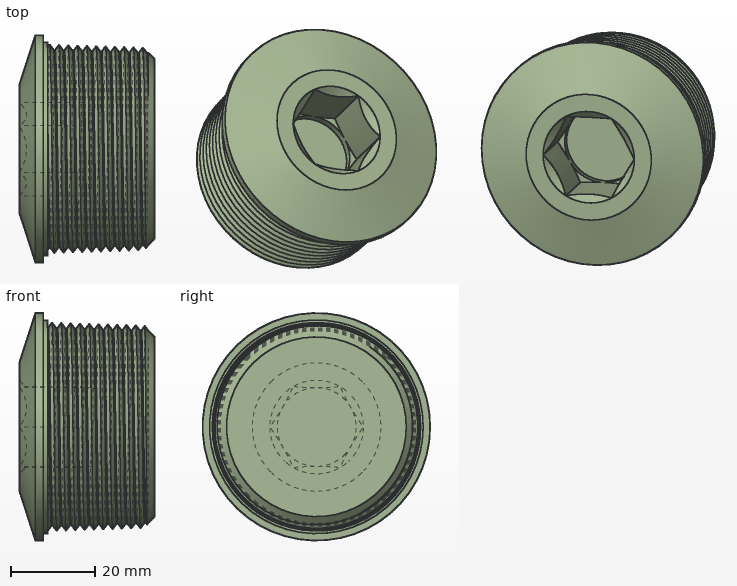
import cadquery as cq
import math

INCH = 25.4

TOTAL_LENGTH = 32.1
THREADED_LENGTH = INCH
COLLAR_WIDTH = 1.0
RIM_WIDTH = 1.9
COLLAR_END = TOTAL_LENGTH - THREADED_LENGTH
RIM_END = COLLAR_END - COLLAR_WIDTH
CONE_END = RIM_END - RIM_WIDTH

HEAD_RADIUS = 54.0 / 2
COLLAR_RADIUS = 50.65 / 2
HEAD_FACE_RADIUS = 30.5 / 2

TURNS_PER_INCH = 11.5
PITCH = INCH / TURNS_PER_INCH
RADIUS_TAPER = 1 / 32
TAPER_ANGLE = math.degrees(math.atan(RADIUS_TAPER))
ROOT_RADIUS = 23.55
THREAD_HEIGHT = 1.2
THREAD_BASE_WIDTH = 1.85
THREAD_EMBED = 0.15
CREST_STATION = 7.76
LEAD_IN_TURNS = 2
RUN_OUT_TURNS = 13

END_CHAMFER = 1.5

BORE_RADIUS = 18.68 / 2
SOCKET_MID_RADIUS = 9.32
SOCKET_CORNER_RADIUS = 11.1
SIDE_ANGLE = 60
SOCKET_DEPTH = 15.0
BORE_DEPTH = 17.0
COUNTERSINK_DEPTH = 1.65


def root_radius(x):
    """Radius of the tapered thread root at station x."""
    return ROOT_RADIUS - (x - COLLAR_END) * RADIUS_TAPER


def revolve(points):
    """Revolve a closed (x, radius) outline about the X axis."""
    return cq.Workplane("XY").polyline(points).close().revolve(360, (0, 0, 0), (1, 0, 0))


def make_head():
    return revolve([
        (0, 0),
        (0, HEAD_FACE_RADIUS),
        (CONE_END, HEAD_RADIUS),
        (RIM_END, HEAD_RADIUS),
        (RIM_END, COLLAR_RADIUS),
        (COLLAR_END, COLLAR_RADIUS),
        (COLLAR_END, 0),
    ])


def make_shank():
    """Tapered shank at the thread root, long enough to be trimmed at the end."""
    return revolve([
        (RIM_END, 0),
        (RIM_END, root_radius(RIM_END)),
        (TOTAL_LENGTH, root_radius(TOTAL_LENGTH)),
        (TOTAL_LENGTH, 0),
    ])


def make_thread_envelope():
    """Space the shank and thread may fill: from the collar to the chamfered end face."""
    chamfer_start = TOTAL_LENGTH - END_CHAMFER
    start_radius = root_radius(chamfer_start)
    end_radius = start_radius - END_CHAMFER
    fade_rise = COLLAR_RADIUS - start_radius
    fade_length = fade_rise * THREAD_BASE_WIDTH / 2 / THREAD_HEIGHT
    return revolve([
        (RIM_END, 0),
        (RIM_END, COLLAR_RADIUS),
        (chamfer_start - fade_length, COLLAR_RADIUS),
        (chamfer_start, start_radius),
        (TOTAL_LENGTH, end_radius),
        (TOTAL_LENGTH, 0),
    ])


def make_thread():
    """Right-handed ridge swept along a tapered helix, its crest meeting +Z at CREST_STATION."""
    start = CREST_STATION - LEAD_IN_TURNS * PITCH
    length = (LEAD_IN_TURNS + RUN_OUT_TURNS) * PITCH
    start_radius = root_radius(start)
    helix = cq.Wire.makeHelix(PITCH, length, start_radius, angle=-TAPER_ANGLE)
    half_foot = THREAD_BASE_WIDTH / 2 * (1 + THREAD_EMBED / THREAD_HEIGHT)
    ridge = (
        cq.Workplane("XZ")
        .moveTo(start_radius - THREAD_EMBED, -half_foot)
        .lineTo(start_radius + THREAD_HEIGHT, 0)
        .lineTo(start_radius - THREAD_EMBED, half_foot)
        .close()
        .sweep(cq.Workplane(helix), isFrenet=True)
    )
    return (
        ridge.rotate((0, 0, 0), (0, 1, 0), 90)
        .rotate((0, 0, 0), (1, 0, 0), 180)
        .translate((start, 0, 0))
    )


def polar_point(radius, degrees):
    """Point at a distance and angle from the axis."""
    angle = math.radians(degrees)
    return (radius * math.cos(angle), radius * math.sin(angle))


def make_socket():
    outline = cq.Workplane("YZ").moveTo(*polar_point(SOCKET_CORNER_RADIUS, 0))
    for corner in range(0, 360, SIDE_ANGLE):
        outline = outline.threePointArc(
            polar_point(SOCKET_MID_RADIUS, corner + SIDE_ANGLE / 2),
            polar_point(SOCKET_CORNER_RADIUS, corner + SIDE_ANGLE),
        )
    hexagon = outline.close().extrude(SOCKET_DEPTH)
    bore = cq.Workplane("YZ").circle(BORE_RADIUS).extrude(BORE_DEPTH)
    countersink = revolve([
        (0, 0),
        (0, SOCKET_CORNER_RADIUS),
        (COUNTERSINK_DEPTH, SOCKET_MID_RADIUS),
        (COUNTERSINK_DEPTH, 0),
    ])
    return hexagon.union(bore).union(countersink)


threaded_shank = make_shank().union(make_thread()).intersect(make_thread_envelope())
result = make_head().union(threaded_shank).cut(make_socket())